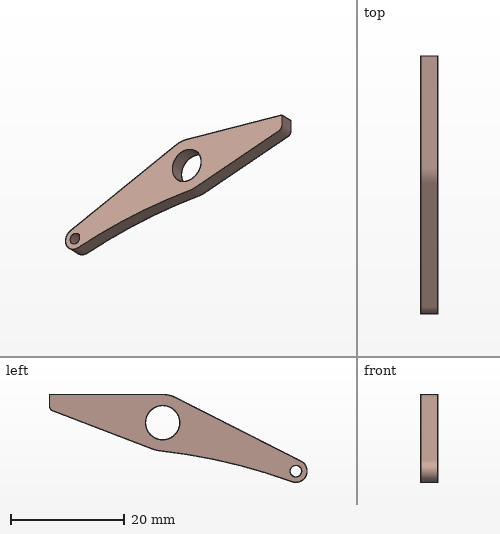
import cadquery as cq
import math

thickness = 3.0

hub_center = (0.0, 0.0)
hub_radius = 5.0
hub_hole_diameter = 6.0

arm_length = 25.0
arm_droop = math.radians(20.0)
eye_radius = 2.0
eye_hole_diameter = 2.0
arm_underside_radius = 100.0

tail_length = 20.0
tail_end_height = 2.0
tail_corner_radius = 1.0


def point_at(center, radius, angle):
    """Point on a circle at the given angle."""
    return (center[0] + radius * math.cos(angle), center[1] + radius * math.sin(angle))


def direction(start, end):
    """Angle of the line from start to end."""
    return math.atan2(end[1] - start[1], end[0] - start[0])


def distance(start, end):
    """Length of the line from start to end."""
    return math.hypot(end[0] - start[0], end[1] - start[1])


def tangent_normal(small_center, small_radius):
    """Angle of the outward normal of the line touching the hub and a smaller circle.

    The line lies on the right-hand side when looking from the hub to the circle.
    """
    radius_difference = hub_radius - small_radius
    turn = math.acos(radius_difference / distance(hub_center, small_center))
    return direction(hub_center, small_center) - turn


eye_center = point_at(hub_center, arm_length, math.pi + arm_droop)
corner_center = (tail_length - tail_corner_radius, hub_radius - tail_end_height)

arm_top_normal = tangent_normal(eye_center, eye_radius)
tail_bottom_normal = tangent_normal(corner_center, tail_corner_radius)

hub_to_underside = arm_underside_radius + hub_radius
eye_to_underside = arm_underside_radius + eye_radius
underside_turn = math.acos(
    (hub_to_underside**2 + arm_length**2 - eye_to_underside**2) / (2 * hub_to_underside * arm_length)
)
underside_center = point_at(
    hub_center, hub_to_underside, direction(hub_center, eye_center) + underside_turn
)
hub_underside_normal = direction(hub_center, underside_center)
eye_underside_normal = direction(eye_center, underside_center)
underside_mid_angle = (
    direction(underside_center, hub_center) + direction(underside_center, eye_center)
) / 2


def add_arc(sketch, center, radius, start_angle, end_angle):
    """Continue the outline along a circle from start_angle to end_angle."""
    middle = point_at(center, radius, (start_angle + end_angle) / 2)
    return sketch.threePointArc(middle, point_at(center, radius, end_angle))


def side_plane():
    """Workplane on the -X face of the plate, with local axes Y and Z."""
    return cq.Workplane("YZ", origin=(-thickness / 2, 0, 0))


def lever_plate():
    """Solid plate, outlined counterclockwise from the lower end of the tail's flat end."""
    full_turn = 2 * math.pi
    outline = (
        side_plane()
        .moveTo(tail_length, corner_center[1])
        .lineTo(tail_length, hub_radius)
        .lineTo(hub_center[0], hub_radius)
    )
    hub_top = math.pi / 2
    outline = add_arc(outline, hub_center, hub_radius, hub_top, arm_top_normal % full_turn)
    outline = outline.lineTo(*point_at(eye_center, eye_radius, arm_top_normal))
    outline = add_arc(
        outline, eye_center, eye_radius, arm_top_normal % full_turn, eye_underside_normal % full_turn
    )
    outline = outline.threePointArc(
        point_at(underside_center, arm_underside_radius, underside_mid_angle),
        point_at(hub_center, hub_radius, hub_underside_normal),
    )
    outline = add_arc(outline, hub_center, hub_radius, hub_underside_normal, tail_bottom_normal)
    outline = outline.lineTo(*point_at(corner_center, tail_corner_radius, tail_bottom_normal))
    outline = add_arc(outline, corner_center, tail_corner_radius, tail_bottom_normal, 0.0)
    return outline.close().extrude(thickness)


def through_hole(center, diameter):
    """Cutter for a round hole through the full thickness."""
    return side_plane().center(*center).circle(diameter / 2).extrude(thickness)


result = (
    lever_plate()
    .cut(through_hole(hub_center, hub_hole_diameter))
    .cut(through_hole(eye_center, eye_hole_diameter))
)